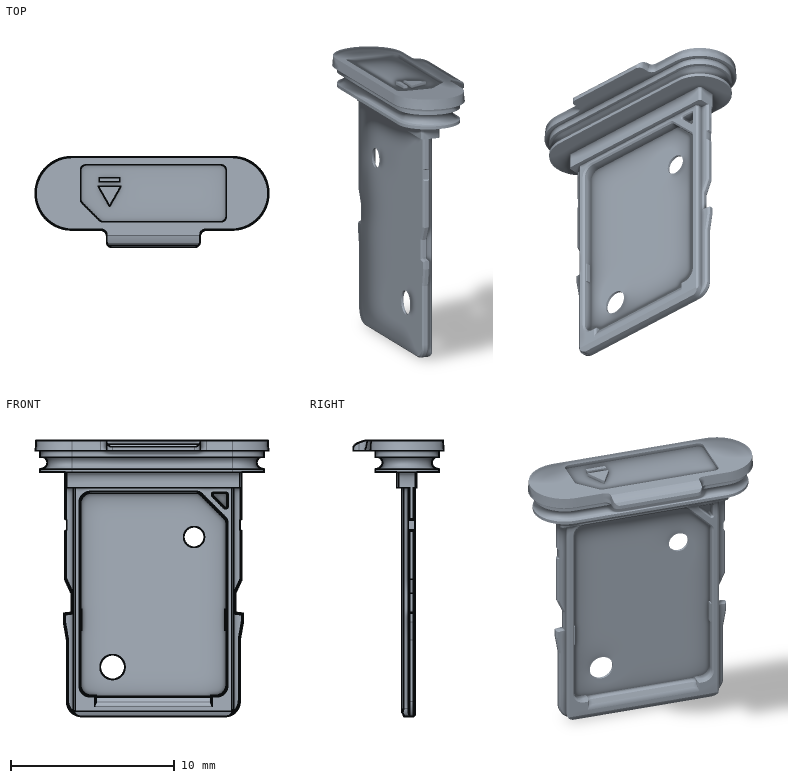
import cadquery as cq
import math


plate_length = 14.3
plate_width = 4.5
plate_thickness = 0.63
plate_draft = 0.05
plate_x = -0.085
plate_bottom = -plate_thickness
end_offset = (plate_length - plate_width) / 2

lip_half_width = 2.86
lip_front = -3.31
lip_root_radius = 0.38
lip_corner_radius = 0.35
lip_round_start = -2.55
lip_round_end = -3.05
lip_round_drop = 0.17
lip_bevel_y = -3.17
lip_bevel_drop = 0.24
lip_front_drop = 0.40
lip_bulge = 0.02

recess_length = 8.92
recess_width = 3.48
recess_depth = 0.22
recess_corner_radius = 0.33
recess_key = 1.25
mark_x = -2.68
mark_width = 1.38
arrow_base_y = 0.42
arrow_tip_y = -0.79
bar_length = 1.24
bar_width = 0.25
bar_y = 0.82

seal_inset = 0.29
seal_bottom = -1.94
seal_half_width = plate_width / 2 - seal_inset
seal_band_bottom = -1.03
seal_ledge = 0.22
seal_waist_depth = 0.44
seal_waist_z = -1.36
seal_foot_inset = 0.2
seal_foot_top = -1.70
seal_foot_edge = -1.75

block_half_width = 5.42
block_front = -0.64
block_back = 0.60
block_bottom = -2.91
block_chamfer = 0.12

tray_bottom = -16.9
tray_front = -0.34
tray_back = 0.485
rail_front = 0.06
rail_chamfer = 0.1
rail_half_width = block_half_width
rail_lower_half_width = 5.31
rail_corner_radius = 0.95
rail_notch_half_width = 5.31
rail_notch_top = -4.80
rail_notch_bottom = -5.55
rail_notch_slope = 0.07
waist_half_width = 5.03
waist_ramp_top = -8.5
waist_ramp_bottom = -9.35
barb_half_width = 5.50
barb_top = -10.52
barb_shoulder_drop = 0.06
barb_flat_end = -11.1
barb_taper_end = -12.2

frame_half_width = 4.91
frame_side_chamfer = 0.12
frame_corner_radius = 0.5
frame_toe_height = 0.32
frame_toe_depth = 0.16

pocket_half_width = 4.45
pocket_top = -3.22
pocket_bottom = -15.6
pocket_depth = 0.67
pocket_floor = tray_front + pocket_depth
pocket_corner_radius = 0.62
pocket_key = 1.67
pocket_key_radius = 0.35
pocket_lip = 0.1

ramp_half_width = 3.6
ramp_bottom = -16.28
ramp_top = -15.67
ramp_round_z = -16.0
ramp_round_depth = 0.12
ramp_round_mid_depth = 0.035
ramp_flat_top_z = -15.73
ramp_flat_top_depth = 0.30
ramp_crest_depth = 0.54

grip_height = 1.3
grip_z = -10.97
grip_rise = 0.08
grip_thickness = 0.3

window_right = 4.50
window_top = -3.24
window_leg = 0.98
window_tip_radius = 0.08
window_lip = 0.07

push_holes = [(2.49, -5.91, 1.25), (-2.50, -13.87, 1.5)]


def front_plane(y):
    """Sketch plane at depth y with X right and Z up; extruding by a negative length goes backward."""
    return cq.Workplane("XZ", origin=(0, y, 0))


def across_x(half_width):
    """Sketch plane with Y right and Z up, starting at the -X end of a part centred on X = 0."""
    return cq.Workplane("YZ", origin=(-half_width, 0, 0))


def corner_box(half_width, front, back, bottom, top):
    """Box centred on X = 0 between the given Y and Z limits."""
    box = cq.Workplane("XY").box(2 * half_width, back - front, top - bottom, centered=(True, False, False))
    return box.translate((0, front, bottom))


def make_lip_profile():
    """Side outline of cap material, rounded down over the finger lip."""
    mid_y = (lip_round_start + lip_round_end) / 2
    mid_z = -lip_round_drop / 2 + lip_bulge
    return (
        across_x(plate_length)
        .moveTo(plate_width, 0)
        .lineTo(lip_round_start, 0)
        .threePointArc((mid_y, mid_z), (lip_round_end, -lip_round_drop))
        .lineTo(lip_bevel_y, -lip_bevel_drop)
        .lineTo(lip_front, -lip_front_drop)
        .lineTo(lip_front, plate_bottom)
        .lineTo(plate_width, plate_bottom)
        .close()
        .extrude(2 * plate_length)
    )


def make_recess():
    """Keyed shallow pocket, less the raised arrow and bar of the eject mark."""
    top = cq.Workplane("XY").workplane(offset=-recess_depth)
    recess = top.rect(recess_length, recess_width).extrude(recess_depth)
    recess = recess.edges("|Z and (<X and <Y)").chamfer(recess_key)
    recess = recess.edges("|Z").fillet(recess_corner_radius)
    arrow = (
        top.moveTo(mark_x - mark_width / 2, arrow_base_y)
        .lineTo(mark_x + mark_width / 2, arrow_base_y)
        .lineTo(mark_x, arrow_tip_y)
        .close()
        .extrude(recess_depth)
    )
    bar = top.center(mark_x, bar_y).rect(bar_length, bar_width).extrude(recess_depth)
    return recess.cut(arrow).cut(bar)


def make_cap():
    """Drafted stadium plate with flared roots, joined to the straight-sided finger lip."""
    radius = plate_width / 2
    left = plate_x - end_offset
    right = plate_x + end_offset
    root_y = -radius - lip_root_radius
    root_x = lip_half_width + lip_root_radius
    outline = (
        cq.Workplane("XY", origin=(0, 0, plate_bottom))
        .moveTo(left, radius)
        .lineTo(right, radius)
        .threePointArc((right + radius, 0), (right, -radius))
        .lineTo(root_x, -radius)
        .radiusArc((lip_half_width, root_y), -lip_root_radius)
        .lineTo(-lip_half_width, root_y)
        .radiusArc((-root_x, -radius), -lip_root_radius)
        .lineTo(left, -radius)
        .threePointArc((left - radius, 0), (left, radius))
        .close()
    )
    draft_angle = math.degrees(math.atan2(plate_draft, plate_thickness))
    plate = outline.extrude(plate_thickness, taper=draft_angle)
    lip = corner_box(lip_half_width, lip_front, 0, plate_bottom, 0)
    lip = lip.edges("|Z and <Y").fillet(lip_corner_radius)
    return plate.union(lip).intersect(make_lip_profile()).cut(make_recess())


def make_seal():
    """Stadium slab with a concave groove: one half section revolved at both ends and run between them."""
    edge = seal_half_width

    def half_section(plane):
        return (
            plane.moveTo(0, plate_bottom)
            .lineTo(edge, plate_bottom)
            .lineTo(edge, seal_band_bottom)
            .lineTo(edge - seal_ledge, seal_band_bottom)
            .threePointArc(
                (edge - seal_waist_depth, seal_waist_z),
                (edge - seal_foot_inset, seal_foot_top),
            )
            .lineTo(edge, seal_foot_edge)
            .lineTo(edge, seal_bottom)
            .lineTo(0, seal_bottom)
            .close()
        )

    bar_start = cq.Workplane("YZ", origin=(plate_x - end_offset, 0, 0))
    half_bar = half_section(bar_start).extrude(2 * end_offset)
    seal = half_bar.union(half_bar.mirror("XZ"))
    for side in (-1, 1):
        end_plane = cq.Workplane("XZ", origin=(plate_x + side * end_offset, 0, 0))
        seal = seal.union(half_section(end_plane).revolve(360, (0, 0), (0, 1)))
    return seal


def make_block():
    """Block at the head of the tray, butting against the seal's underside."""
    block = corner_box(block_half_width, block_front, block_back, block_bottom, seal_bottom)
    return block.edges("|Z").chamfer(block_chamfer)


def make_rail_plate():
    """Back plate whose side edges carry the notches, the waists and the barbs."""
    right_side = [
        (rail_half_width, block_bottom),
        (rail_half_width, waist_ramp_top),
        (waist_half_width, waist_ramp_bottom),
        (waist_half_width, barb_top),
        (barb_half_width, barb_top - barb_shoulder_drop),
        (barb_half_width, barb_flat_end),
        (rail_lower_half_width, barb_taper_end),
        (rail_lower_half_width, tray_bottom),
    ]
    left_side = [(-x, z) for x, z in reversed(right_side)]
    plate = front_plane(rail_front).polyline(right_side + left_side).close().extrude(rail_front - tray_back)
    plate = plate.edges("|Y and <Z").fillet(rail_corner_radius)
    plate = plate.faces("<Y or >Y").edges("not >Z").chamfer(rail_chamfer)
    for side in (-1, 1):
        plate = plate.cut(make_rail_notch(side))
    return plate


def make_rail_notch(side):
    """Shallow notch with sloped ends in one side edge of the rail plate."""
    return (
        front_plane(rail_front)
        .moveTo(side * rail_half_width, rail_notch_top)
        .lineTo(side * rail_notch_half_width, rail_notch_top - rail_notch_slope)
        .lineTo(side * rail_notch_half_width, rail_notch_bottom + rail_notch_slope)
        .lineTo(side * rail_half_width, rail_notch_bottom)
        .close()
        .extrude(rail_front - tray_back)
    )


def make_frame():
    """Raised front part of the tray, chamfered along its sides and sloped along its toe."""
    frame_back = rail_front + rail_chamfer
    frame = corner_box(frame_half_width, tray_front, frame_back, tray_bottom, block_bottom)
    frame = frame.edges("|Z and <Y").chamfer(frame_side_chamfer)
    toe = (
        across_x(frame_half_width)
        .moveTo(tray_front, tray_bottom)
        .lineTo(tray_front + frame_toe_depth, tray_bottom)
        .lineTo(tray_front, tray_bottom + frame_toe_height)
        .close()
        .extrude(2 * frame_half_width)
    )
    rounded = corner_box(frame_half_width, tray_front, frame_back, tray_bottom, block_bottom)
    rounded = rounded.edges("|Y and <Z").fillet(frame_corner_radius)
    return frame.intersect(rounded).cut(toe)


def make_pocket():
    """Card pocket with one keyed corner and a lip chamfered around its mouth."""
    pocket = corner_box(pocket_half_width, tray_front, pocket_floor, pocket_bottom, pocket_top)
    pocket = pocket.edges("|Y and (>X and >Z)").chamfer(pocket_key)
    pocket = pocket.edges("|Y and (<X or <Z)").fillet(pocket_corner_radius)
    key_reach = 1.5 * pocket_key
    key_box = cq.selectors.BoxSelector(
        (pocket_half_width - key_reach, tray_front, pocket_top - key_reach),
        (pocket_half_width + key_reach, pocket_floor, pocket_top + key_reach),
    )
    pocket = pocket.edges("|Y").edges(key_box).fillet(pocket_key_radius)
    return pocket.union(make_mouth(pocket, pocket_lip))


def make_mouth(cutter, lip):
    """45 degree flare that widens a cutter's front outline by the lip width."""
    outline = cutter.faces("<Y").wires().toPending()
    wide = cq.Workplane("XZ", origin=(0, tray_front, 0)).add(outline.val()).toPending().offset2D(lip)
    return wide.extrude(-lip, taper=45)


def make_window():
    """Triangular window, open as deep as the card pocket."""
    window = (
        front_plane(tray_front)
        .moveTo(window_right, window_top)
        .lineTo(window_right, window_top - window_leg)
        .lineTo(window_right - window_leg, window_top)
        .close()
        .extrude(-pocket_depth)
        .edges("|Y")
        .fillet(window_tip_radius)
    )
    return window.union(make_mouth(window, window_lip))


def make_ramp():
    """Sloped cut with rounded shoulders leading out of the pocket's bottom edge."""
    inner_half_width = ramp_half_width - pocket_lip
    slope_cut = (
        across_x(ramp_half_width)
        .moveTo(tray_front, ramp_bottom)
        .threePointArc(
            (tray_front + ramp_round_mid_depth, (ramp_bottom + ramp_round_z) / 2),
            (tray_front + ramp_round_depth, ramp_round_z),
        )
        .lineTo(tray_front + ramp_flat_top_depth, ramp_flat_top_z)
        .lineTo(tray_front + ramp_crest_depth, ramp_top)
        .lineTo(pocket_floor, ramp_top)
        .lineTo(pocket_floor, pocket_bottom + pocket_lip)
        .lineTo(tray_front, pocket_bottom + pocket_lip)
        .close()
        .extrude(2 * ramp_half_width)
    )
    flared_ends = (
        cq.Workplane("XY", origin=(0, 0, tray_bottom))
        .moveTo(-ramp_half_width, tray_front)
        .lineTo(-inner_half_width, tray_front + pocket_lip)
        .lineTo(-inner_half_width, pocket_floor)
        .lineTo(inner_half_width, pocket_floor)
        .lineTo(inner_half_width, tray_front + pocket_lip)
        .lineTo(ramp_half_width, tray_front)
        .close()
        .extrude(-tray_bottom)
    )
    return slope_cut.intersect(flared_ends)


def make_grip(side):
    """Low pad standing out from one side wall of the pocket, midway down its depth."""
    pad = cq.Workplane("XY").box(2 * grip_rise, grip_thickness, grip_height)
    return pad.translate((side * pocket_half_width, tray_front + pocket_depth / 2, grip_z))


def make_tray():
    """Rail plate, frame and block as one body, with all its pockets and holes."""
    tray = make_rail_plate().union(make_frame()).union(make_block())
    tray = tray.cut(make_pocket()).cut(make_ramp()).cut(make_window())
    for side in (-1, 1):
        tray = tray.union(make_grip(side))
    for x, z, diameter in push_holes:
        hole = front_plane(tray_front).center(x, z).circle(diameter / 2).extrude(tray_front - tray_back)
        tray = tray.cut(hole)
    return tray


cap = make_cap()
seal = make_seal()
tray = make_tray()

result = cq.Compound.makeCompound([cap.val(), seal.val(), tray.val()])